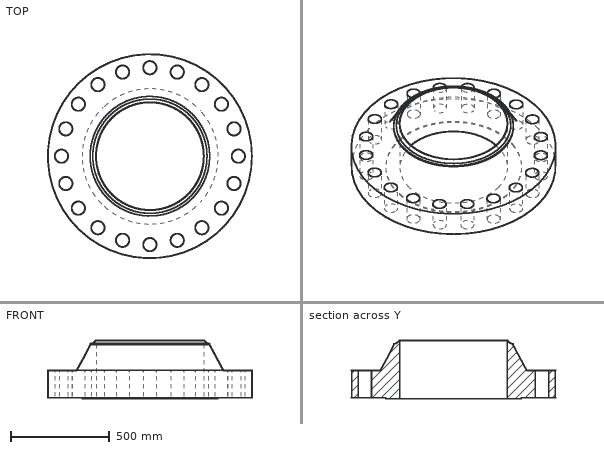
import cadquery as cq

flange_diameter = 1041.0
flange_thickness = 140.0
flange_radius = flange_diameter / 2

raised_face_radius = 692.0 / 2
raised_face_height = 6.0

total_height = 299.0
hub_base_radius = 750.0 / 2
hub_fillet_radius = 4.0
neck_radius = 610.0 / 2
neck_length = 6.0

bore_radius = 548.0 / 2
land_width = 2.0
bevel_radius = 292.0
bevel_height = 14.0
shoulder_drop = 3.0

bolt_count = 20
bolt_circle_radius = 902.0 / 2
bolt_hole_diameter = 67.0

flange_top = raised_face_height + flange_thickness
bevel_foot = total_height - bevel_height
neck_top = bevel_foot - shoulder_drop
neck_foot = neck_top - neck_length


def make_body():
    """Revolve the half section about the Z axis and round the corner at the hub base."""
    section = [
        (bore_radius, 0),
        (raised_face_radius, 0),
        (raised_face_radius, raised_face_height),
        (flange_radius, raised_face_height),
        (flange_radius, flange_top),
        (hub_base_radius, flange_top),
        (neck_radius, neck_foot),
        (neck_radius, neck_top),
        (bevel_radius, bevel_foot),
        (bore_radius + land_width, total_height),
        (bore_radius, total_height),
    ]
    body = cq.Workplane("XZ").polyline(section).close().revolve(360, (0, 0), (0, 1))
    flange_top_face = body.faces("%PLANE").faces(">Z[-2]")
    hub_base_edge = flange_top_face.edges(cq.selectors.RadiusNthSelector(0))
    return hub_base_edge.fillet(hub_fillet_radius)


def make_bolt_holes():
    """Cylinders on the bolt circle, long enough to pass through the flange."""
    return (
        cq.Workplane("XY")
        .polarArray(bolt_circle_radius, 0, 360, bolt_count)
        .circle(bolt_hole_diameter / 2)
        .extrude(flange_top)
    )


result = make_body().cut(make_bolt_holes())